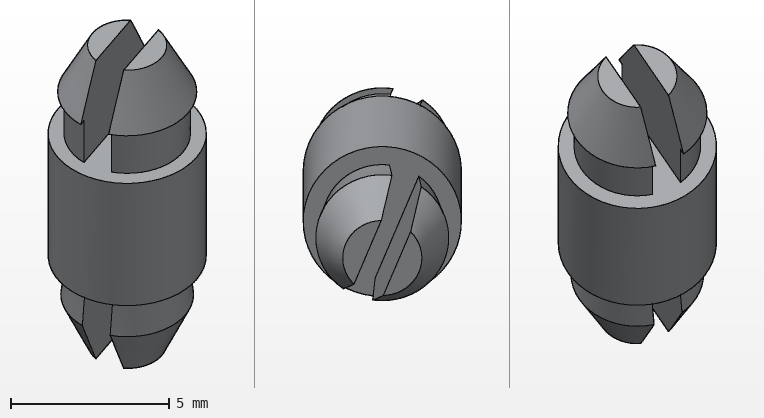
import cadquery as cq

body_diameter = 5.0
body_height = 5.0

slot_width = 1.0
tip_diameter = 2.5

upper_neck_diameter = 4.0
upper_neck_height = 1.7
upper_head_diameter = 4.4
upper_head_height = 1.9

lower_neck_diameter = 3.8
lower_neck_height = 1.6
lower_head_diameter = 4.2
lower_head_height = 2.0

upper_head_base = body_height + upper_neck_height
upper_tip = upper_head_base + upper_head_height
lower_head_base = -lower_neck_height
lower_tip = lower_head_base - lower_head_height


def turned_pin():
    """Revolve the half profile of the body and both snap ends about Z."""
    profile = [
        (0, lower_tip),
        (tip_diameter / 2, lower_tip),
        (lower_head_diameter / 2, lower_head_base),
        (lower_neck_diameter / 2, 0),
        (body_diameter / 2, 0),
        (body_diameter / 2, body_height),
        (upper_neck_diameter / 2, body_height),
        (upper_neck_diameter / 2, upper_head_base),
        (upper_head_diameter / 2, upper_head_base),
        (tip_diameter / 2, upper_tip),
        (0, upper_tip),
    ]
    return cq.Workplane("XZ").polyline(profile).close().revolve(360, (0, 0), (0, 1))


def end_slot(z_start, z_end):
    """Slot cutter through the full depth in Y between two heights."""
    return (
        cq.Workplane("XY")
        .workplane(offset=z_start)
        .rect(slot_width, body_diameter)
        .extrude(z_end - z_start)
    )


result = turned_pin()
for slot_start, slot_end in [(body_height, upper_tip), (lower_tip, 0)]:
    result = result.cut(end_slot(slot_start, slot_end))